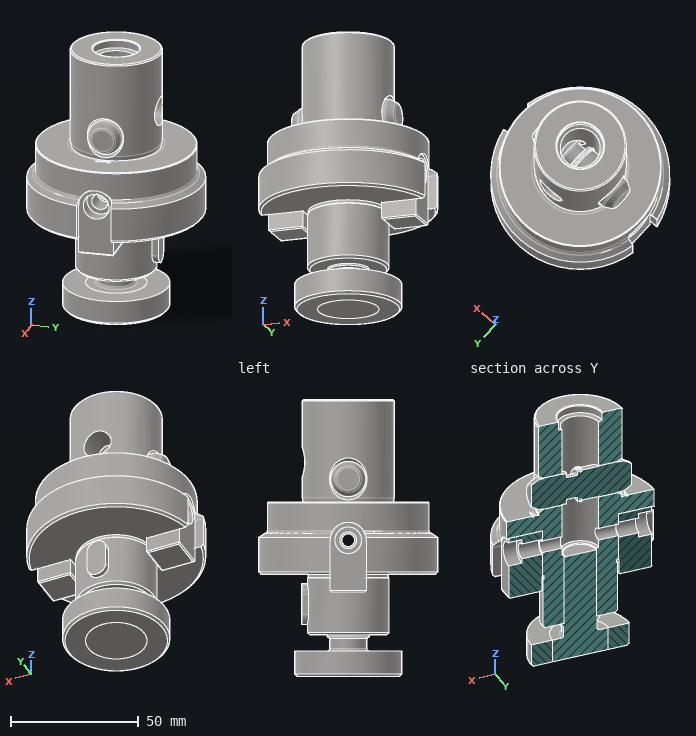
import cadquery as cq
import math

head_top = 10.1
arbor_bottom = 16.2
flange_bottom = 39.9
flange_top = 54.3
collar_bottom = 55.9
collar_top = 68.2
shank_top = 108.2

shank_radius = 36.0 / 2
collar_radius = 63.3 / 2
flange_radius = 70.0 / 2
arbor_radius = 32.0 / 2
edge_chamfer = 1.0
shank_chamfer = 0.5
collar_chamfer = 0.3
collar_fillet = 1.0
relief_depth = 0.3
relief_height = 1.5
relief_rim = 1.0

bore_radius = 7.8
mouth_radius = 9.2
mouth_depth = 3.5
mouth_cone_depth = 0.6
mouth_chamfer = 0.3
cone_slope = math.tan(math.radians(30))
thread_radius = 6.8
thread_cone_top = 47.6

side_hole_radius = 5.8
side_hole_z = 83.7

pin_z = 77.1
pin_radius = 6.9
pin_left = -22.0
pin_right = 21.0
pin_cone_length = 3.5
pin_nose_fillet = 0.9
pin_shoulder_fillet = 1.3
pin_neck_radius = 5.1
pin_neck_left = 1.2
pin_neck_right = 5.8
pin_neck_fillet = 0.4
pin_hole_mouth_radius = 8.2
ring_left = -0.6
ring_width = 0.8
ring_inner_radius = 6.3
ring_outer_radius = 7.5

key_angles = (0, 180)
key_width = 14.1
key_inner_x = 16.3
key_outer_x = 30.6
key_bottom = 33.1
key_hole_z = 53.2
key_chamfer = 0.5
key_counterbore_radius = 5.2
key_counterbore_depth = 5.6
key_hole_radius = 3.2
cross_hole_radius = 2.5

feather_width = 8.0
feather_length = 16.0
feather_z = 28.2
feather_floor_y = 11.1
feather_top_y = 18.2

screw_top = 46.5
screw_neck_radius = 7.2
screw_bead_radius = 8.2
screw_bead_height = 0.8
screw_bead_chamfer = 0.6
neck_fillet = 0.9
screw_head_radius = 12.0
disc_radius = 21.0


def revolve_about_z(points):
    """Solid of revolution about Z from (radius, z) points."""
    return cq.Workplane("XZ").polyline(points).close().revolve(360, (0, 0), (0, 1))


def revolve_about_pin(points):
    """Solid of revolution about the driver pin axis from (x, radius) points."""
    profile = cq.Workplane("XZ").polyline(points).close()
    return profile.revolve(360, (0, 0), (1, 0)).translate((0, 0, pin_z))


def rod_x(radius, start_x, end_x, z):
    """Cylinder along X between two X positions."""
    return cq.Workplane("YZ", origin=(start_x, 0, z)).circle(radius).extrude(end_x - start_x)


def key_block(bottom, outer_x):
    """Round-topped block of the drive key shape on the +X side."""
    half = key_width / 2
    return (
        cq.Workplane("YZ", origin=(key_inner_x, 0, 0))
        .moveTo(-half, bottom)
        .lineTo(half, bottom)
        .lineTo(half, key_hole_z)
        .threePointArc((0, key_hole_z + half), (-half, key_hole_z))
        .close()
        .extrude(outer_x - key_inner_x)
    )


def turned(shape, angle):
    """The same shape turned about Z."""
    return shape.rotate((0, 0, 0), (0, 0, 1), angle)


def make_feather_key():
    return (
        cq.Workplane("XZ", origin=(0, feather_floor_y, feather_z))
        .slot2D(feather_length, feather_width, 90)
        .extrude(feather_floor_y - feather_top_y)
    )


def make_outer_shape():
    relief_radius = shank_radius - relief_depth
    arbor_relief_radius = arbor_radius - relief_depth
    fillet_mid = collar_fillet * (1 - math.sqrt(0.5))
    return (
        cq.Workplane("XZ")
        .moveTo(0, arbor_bottom)
        .lineTo(arbor_radius - edge_chamfer, arbor_bottom)
        .lineTo(arbor_radius, arbor_bottom + edge_chamfer)
        .lineTo(arbor_radius, flange_bottom - relief_height)
        .lineTo(arbor_relief_radius, flange_bottom - relief_height + relief_depth)
        .lineTo(arbor_relief_radius, flange_bottom)
        .lineTo(flange_radius - edge_chamfer, flange_bottom)
        .lineTo(flange_radius, flange_bottom + edge_chamfer)
        .lineTo(flange_radius, flange_top)
        .lineTo(collar_radius + collar_fillet, collar_bottom)
        .threePointArc(
            (collar_radius + fillet_mid, collar_bottom + fillet_mid),
            (collar_radius, collar_bottom + collar_fillet),
        )
        .lineTo(collar_radius, collar_top - collar_chamfer)
        .lineTo(collar_radius - collar_chamfer, collar_top)
        .lineTo(shank_radius + relief_rim, collar_top)
        .lineTo(relief_radius, collar_top - relief_depth)
        .lineTo(shank_radius, collar_top + relief_height)
        .lineTo(shank_radius, shank_top - shank_chamfer)
        .lineTo(shank_radius - shank_chamfer, shank_top)
        .lineTo(0, shank_top)
        .close()
        .revolve(360, (0, 0), (0, 1))
    )


def make_bore():
    mouth_floor = shank_top - mouth_depth
    return revolve_about_z([
        (0, arbor_bottom),
        (thread_radius, arbor_bottom),
        (thread_radius, thread_cone_top - (bore_radius - thread_radius) * cone_slope),
        (bore_radius, thread_cone_top),
        (bore_radius, mouth_floor - mouth_cone_depth),
        (mouth_radius, mouth_floor),
        (mouth_radius, shank_top - mouth_chamfer),
        (mouth_radius + mouth_chamfer, shank_top),
        (0, shank_top),
    ])


def make_pin_hole():
    """Hole for the driver pin, widened by a 60 degree cone at each end."""
    cone_inner_x = shank_radius - (pin_hole_mouth_radius - pin_radius) / cone_slope
    cone_outer_x = 2 * shank_radius - cone_inner_x
    cone_outer_radius = 2 * pin_hole_mouth_radius - pin_radius
    return revolve_about_pin([
        (-cone_outer_x, 0),
        (-cone_outer_x, cone_outer_radius),
        (-cone_inner_x, pin_radius),
        (cone_inner_x, pin_radius),
        (cone_outer_x, cone_outer_radius),
        (cone_outer_x, 0),
    ])


def make_body():
    slot = key_block(flange_bottom, flange_radius)
    side_hole = cq.Workplane("XZ", origin=(0, 0, side_hole_z)).circle(side_hole_radius).extrude(-shank_radius)
    shape = make_outer_shape()
    for angle in key_angles:
        shape = shape.cut(turned(slot, angle))
    return (
        shape
        .cut(make_bore())
        .cut(make_pin_hole())
        .cut(side_hole)
        .cut(rod_x(cross_hole_radius, -flange_radius, flange_radius, key_hole_z))
        .cut(make_feather_key())
    )


def make_drive_key():
    return (
        key_block(key_bottom, key_outer_x)
        .faces("<Z").chamfer(key_chamfer)
        .cut(rod_x(key_hole_radius, key_inner_x, key_outer_x, key_hole_z))
        .cut(rod_x(key_counterbore_radius, key_outer_x - key_counterbore_depth, key_outer_x, key_hole_z))
    )


def make_retaining_ring():
    ring_right = ring_left + ring_width
    return revolve_about_pin([
        (ring_left, ring_inner_radius),
        (ring_left, ring_outer_radius),
        (ring_right, ring_outer_radius),
        (ring_right, ring_inner_radius),
    ])


def make_neck_cutter():
    """Ring of material around the neck of the driver pin, rounded at the neck's two ends."""
    neck_length = pin_neck_right - pin_neck_left
    return (
        cq.Workplane("YZ", origin=(pin_neck_left, 0, pin_z))
        .circle(2 * pin_radius)
        .circle(pin_neck_radius)
        .extrude(neck_length)
        .edges(cq.selectors.RadiusNthSelector(0))
        .fillet(pin_neck_fillet)
    )


def make_driver_pin():
    """Pin with a rounded cone at each end, a neck and a groove for the ring."""
    nose_radius = pin_radius - pin_cone_length * cone_slope
    pin = revolve_about_pin([
        (pin_left, 0),
        (pin_left, nose_radius),
        (pin_left + pin_cone_length, pin_radius),
        (pin_right - pin_cone_length, pin_radius),
        (pin_right, nose_radius),
        (pin_right, 0),
    ])
    pin = pin.edges(cq.selectors.RadiusNthSelector(0)).fillet(pin_nose_fillet)
    pin = pin.edges(cq.selectors.RadiusNthSelector(-1)).fillet(pin_shoulder_fillet)
    return pin.cut(make_neck_cutter()).cut(make_retaining_ring())


def make_clamping_screw():
    bead_bottom = arbor_bottom - screw_bead_height
    fillet_mid = neck_fillet * (1 - math.sqrt(0.5))
    return (
        cq.Workplane("XZ")
        .moveTo(0, 0)
        .lineTo(screw_head_radius, 0)
        .lineTo(screw_head_radius, head_top)
        .lineTo(screw_neck_radius + neck_fillet, head_top)
        .threePointArc(
            (screw_neck_radius + fillet_mid, head_top + fillet_mid),
            (screw_neck_radius, head_top + neck_fillet),
        )
        .lineTo(screw_neck_radius, bead_bottom - screw_bead_chamfer)
        .lineTo(screw_bead_radius, bead_bottom)
        .lineTo(screw_bead_radius, arbor_bottom)
        .lineTo(thread_radius, arbor_bottom)
        .lineTo(thread_radius, screw_top)
        .lineTo(0, screw_top)
        .close()
        .revolve(360, (0, 0), (0, 1))
    )


def make_head_disc():
    return revolve_about_z([
        (screw_head_radius, 0),
        (disc_radius - edge_chamfer, 0),
        (disc_radius, edge_chamfer),
        (disc_radius, head_top),
        (screw_head_radius, head_top),
    ])


body = make_body()
drive_keys = []
for key_angle in key_angles:
    drive_keys.append(turned(make_drive_key(), key_angle))
feather_key = make_feather_key()
driver_pin = make_driver_pin()
retaining_ring = make_retaining_ring()
clamping_screw = make_clamping_screw()
head_disc = make_head_disc()

result = cq.Compound.makeCompound([
    body.val(),
    *[key.val() for key in drive_keys],
    feather_key.val(),
    driver_pin.val(),
    retaining_ring.val(),
    clamping_screw.val(),
    head_disc.val(),
])